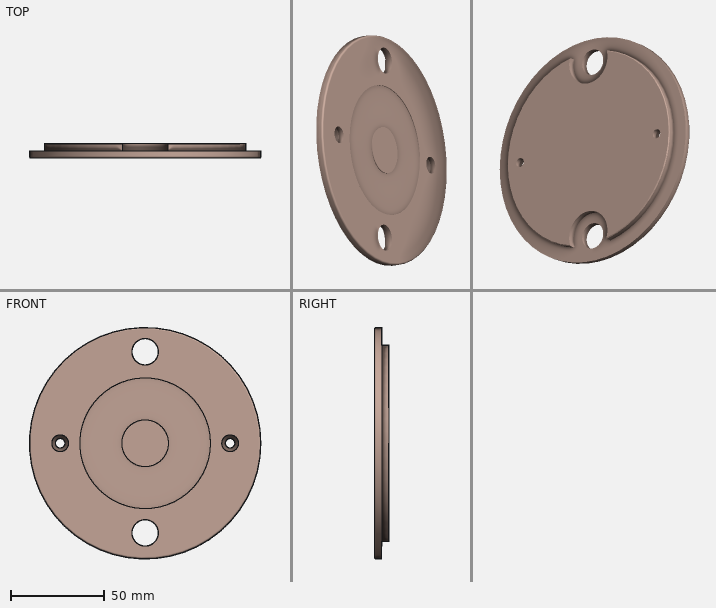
import cadquery as cq

plate_diameter = 124.0
plate_thickness = 4.0
front_edge_radius = 1.0

boss_diameter = 108.0
boss_height = 4.0
boss_edge_radius = 0.5

hole_diameter = 14.0
hole_pitch = 97.0
hole_pair_shift = 0.5
hole_heights = (hole_pair_shift - hole_pitch / 2, hole_pair_shift + hole_pitch / 2)

clearance_diameter = 25.5

screw_diameter = 5.0
head_diameter = 9.0
head_bore_depth = 3.0
seat_depth = (head_diameter - screw_diameter) / 2
screw_offset = 45.5

recess_outer_diameter = 70.0
recess_inner_diameter = 25.0
recess_depth = 0.5

total_thickness = plate_thickness + boss_height


def at_depth(depth):
    """Workplane parallel to the front face, its normal pointing towards +Y."""
    return cq.Workplane("XZ", origin=(0, depth, 0)).transformed(rotate=(180, 0, 0))


def disc(diameter, depth, height):
    """Centred disc that starts at the given depth and extends towards +Y."""
    return at_depth(depth).circle(diameter / 2).extrude(height)


def make_plate():
    """Main disc with a rounded front rim."""
    return disc(plate_diameter, 0, plate_thickness).faces("<Y").fillet(front_edge_radius)


def make_boss():
    """Back disc with a rounded rim and a round clearance around each plain through hole."""
    boss = disc(boss_diameter, plate_thickness, boss_height).faces(">Y").fillet(boss_edge_radius)
    clearance = disc(clearance_diameter, plate_thickness, boss_height)
    for height in hole_heights:
        boss = boss.cut(clearance.translate((0, 0, height)))
    return boss


def make_front_recess():
    """Ring removed from the front face around a central pad."""
    recess = disc(recess_outer_diameter, 0, recess_depth)
    return recess.cut(disc(recess_inner_diameter, 0, recess_depth))


def cut_plain_holes(body):
    hole = disc(hole_diameter, 0, total_thickness)
    for height in hole_heights:
        body = body.cut(hole.translate((0, 0, height)))
    return body


def make_screw_cutter():
    """Half profile in the XY plane, revolved about the Y axis."""
    head_radius = head_diameter / 2
    screw_radius = screw_diameter / 2
    return (
        cq.Workplane("XY")
        .lineTo(head_radius, 0)
        .lineTo(head_radius, head_bore_depth)
        .lineTo(screw_radius, head_bore_depth + seat_depth)
        .lineTo(screw_radius, total_thickness)
        .lineTo(0, total_thickness)
        .close()
        .revolve(360, (0, 0, 0), (0, 1, 0))
    )


def cut_screw_holes(body):
    cutter = make_screw_cutter()
    for side in (-1, 1):
        body = body.cut(cutter.translate((side * screw_offset, 0, 0)))
    return body


body = make_plate().union(make_boss())
body = cut_plain_holes(body)
body = cut_screw_holes(body)
result = body.cut(make_front_recess())